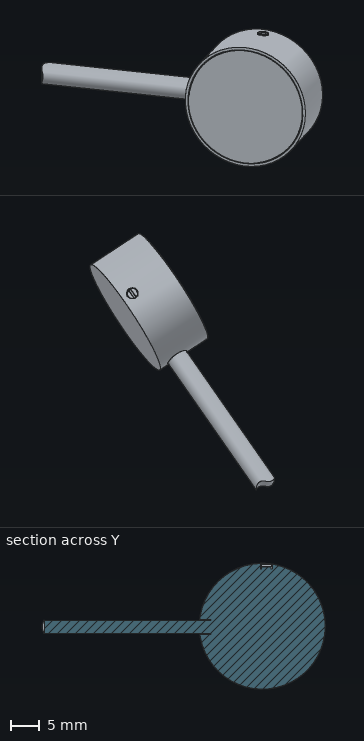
import cadquery as cq

body_diameter = 22.0
body_length = 10.0
back_y = body_length / 2
front_y = -body_length / 2

cover_recess_diameter = 21.0
cover_diameter = 20.8
cover_groove_depth = 0.5

cable_diameter = 3.9
cable_hole_diameter = 4.0
cable_hole_depth = 2.0
cable_radius = cable_diameter / 2
cable_from_back = 3.55
cable_y = back_y - cable_from_back
cable_z = -0.1
overall_length = 49.92
cable_tip_x = body_diameter / 2 - overall_length
wave_height = 0.5
cable_root_x = -body_diameter / 2 + cable_hole_depth

screw_hole_diameter = 2.0
screw_diameter = 1.8
screw_x = 0.7
screw_from_back = 2.0
screw_y = back_y - screw_from_back
screw_hole_depth = 1.0
screw_sink = 0.2
slot_width = 0.4
slot_depth = 0.4


def make_body():
    """Plain disc with the ring groove in its front face."""
    body = cq.Workplane("XZ", origin=(0, back_y, 0)).circle(body_diameter / 2).extrude(body_length)
    groove = (
        cq.Workplane("XZ", origin=(0, front_y + cover_groove_depth, 0))
        .circle(cover_recess_diameter / 2)
        .circle(cover_diameter / 2)
        .extrude(cover_groove_depth)
    )
    return body.cut(groove)


def make_cable_hole():
    """Blind hole in the body wall; the cable is joined to its floor."""
    return (
        cq.Workplane("YZ", origin=(-body_diameter / 2, cable_y, cable_z))
        .circle(cable_hole_diameter / 2)
        .extrude(cable_hole_depth)
    )


def make_cable():
    """Round rod whose free end follows an S made of two equal arcs."""
    end_x = cable_tip_x + wave_height
    rod = (
        cq.Workplane("YZ", origin=(cable_tip_x, cable_y, cable_z))
        .circle(cable_radius)
        .extrude(cable_root_x - cable_tip_x)
    )
    s_outline = (
        cq.Workplane("XY", origin=(0, cable_y, cable_z - cable_radius))
        .moveTo(cable_root_x, cable_radius)
        .lineTo(end_x, cable_radius)
        .threePointArc((end_x + wave_height, cable_radius / 2), (end_x, 0))
        .threePointArc((end_x - wave_height, -cable_radius / 2), (end_x, -cable_radius))
        .lineTo(cable_root_x, -cable_radius)
        .close()
        .extrude(cable_diameter)
    )
    return rod.intersect(s_outline)


def make_screw_hole():
    """Hole to cut from the body, with the slotted screw left standing in it."""
    top_z = body_diameter / 2
    floor_z = top_z - screw_hole_depth
    screw_height = screw_hole_depth - screw_sink
    hole = (
        cq.Workplane("XY", origin=(screw_x, screw_y, floor_z))
        .circle(screw_hole_diameter / 2)
        .extrude(screw_hole_depth)
    )
    screw = (
        cq.Workplane("XY", origin=(screw_x, screw_y, floor_z))
        .circle(screw_diameter / 2)
        .extrude(screw_height)
    )
    slot = (
        cq.Workplane("XY", origin=(screw_x, screw_y, floor_z + screw_height - slot_depth))
        .rect(screw_hole_diameter, slot_width)
        .extrude(slot_depth)
    )
    return hole.cut(screw.cut(slot))


result = make_body().cut(make_cable_hole()).union(make_cable()).cut(make_screw_hole())